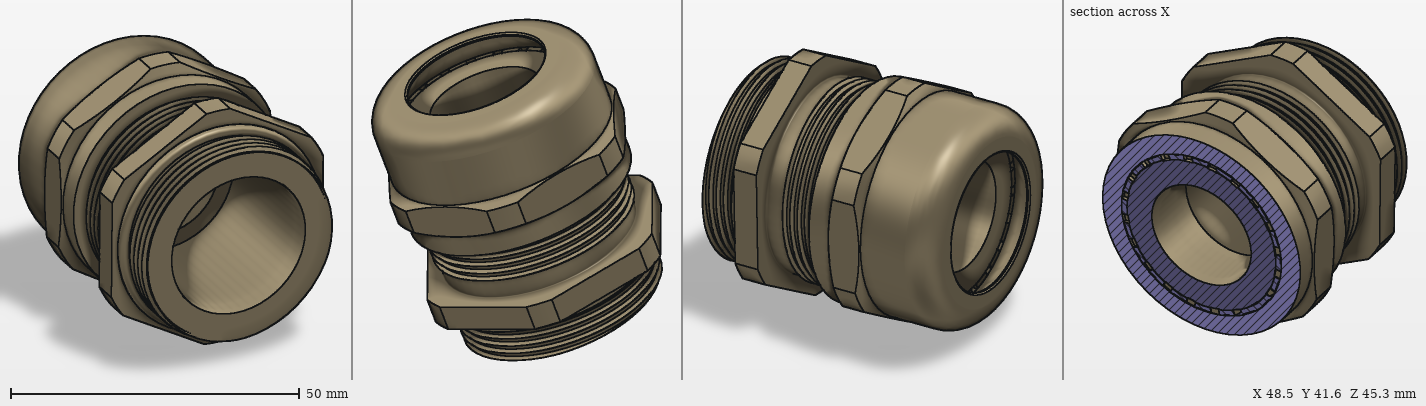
import cadquery as cq
import math


TILT_ABOUT_Y = 1.0
TILT_ABOUT_Z = -1.0

CAP_DIAMETER = 40.65
CAP_END = 24.5
DOME_RADIUS = 4.85
CAP_HEX_START = 13.9
CAP_HEX_END = 20.5
CAP_HEX_FLATS = 41.15
CAP_HEX_CORNERS = 44.6
CAP_HEX_BEVEL = 1.05
OPENING_DIAMETER = 25.25
OPENING_CHAMFER = 0.3
LIP_LENGTH = 0.6

INSERT_START = 5.35
INSERT_END = 20.35
CAGE_DIAMETER = 32.68
SEAL_DIAMETER = 30.45
SEAL_BORE = 20.25
SLOT_COUNT = 20
SLOT_WIDTH = 1.65
SLOT_DEPTH = 4.85
SLOT_PHASE = 8.0

BODY_DIAMETER = 35.4
BODY_START = 12.6
BODY_END = 47.65
BODY_BORE = 26.1
BODY_HEX_START = 34.95
BODY_HEX_END = 39.6
BODY_HEX_FLATS = 41.15
BODY_HEX_CORNERS = 45.1
FLANGE_FILLET = 0.4

RING_COUNT = 5
RING_PITCH = 1.5
RING_CREST_DIAMETER = 36.85
RING_WIDTH = 0.85
RING_ROOT_DEPTH = 0.2
CAP_RINGS_START = 25.35
END_RINGS_START = 42.0
RING_LEAN_ABOUT_Y = 1.0
RING_LEAN_ABOUT_Z = 0.8

O_RING_SECTION = 2.0
O_RING_END = 41.25

ORIGIN = (0, 0, 0)
X_AXIS = (1, 0, 0)
Y_AXIS = (0, 1, 0)
Z_AXIS = (0, 0, 1)


def cylinder(diameter, start, end):
    """Solid cylinder on the X axis between two stations."""
    return cq.Workplane("YZ", origin=(start, 0, 0)).circle(diameter / 2).extrude(end - start)


def revolved(outline):
    """Solid of revolution about X from a closed outline of (x, radius) points."""
    return cq.Workplane("XZ").polyline(outline).close().revolve(360, ORIGIN, X_AXIS)


def hexagon(flats, start, end):
    """Hexagonal prism on the X axis with its corners pointing along Z."""
    corner_diameter = flats / math.cos(math.pi / 6)
    prism = cq.Workplane("YZ", origin=(start, 0, 0)).polygon(6, corner_diameter).extrude(end - start)
    return prism.rotate(ORIGIN, X_AXIS, 90)


def make_cap_nut():
    """Domed nut with a bevelled hexagon, a conical clamping seat and a bore for the body."""
    shell = cylinder(CAP_DIAMETER, 0, CAP_END).faces("<X").edges().fillet(DOME_RADIUS)

    cap_radius = CAP_DIAMETER / 2
    corner_radius = CAP_HEX_CORNERS / 2
    bevelled_disc = revolved([
        (CAP_HEX_START, 0),
        (CAP_HEX_START, cap_radius),
        (CAP_HEX_START + CAP_HEX_BEVEL, corner_radius),
        (CAP_HEX_END - CAP_HEX_BEVEL, corner_radius),
        (CAP_HEX_END, cap_radius),
        (CAP_HEX_END, 0),
    ])
    grip = hexagon(CAP_HEX_FLATS, CAP_HEX_START, CAP_HEX_END).intersect(bevelled_disc)

    opening_radius = OPENING_DIAMETER / 2
    cavity = revolved([
        (0, 0),
        (0, opening_radius + OPENING_CHAMFER),
        (OPENING_CHAMFER, opening_radius),
        (LIP_LENGTH, opening_radius),
        (INSERT_START, CAGE_DIAMETER / 2),
        (BODY_START, CAGE_DIAMETER / 2),
        (BODY_START, BODY_DIAMETER / 2),
        (CAP_END, BODY_DIAMETER / 2),
        (CAP_END, 0),
    ])
    return shell.union(grip).cut(cavity)


def make_cage():
    """Sleeve whose front end is slotted into clamping fingers."""
    sleeve = cylinder(CAGE_DIAMETER, INSERT_START, INSERT_END)
    cage = sleeve.cut(cylinder(SEAL_DIAMETER, INSERT_START, INSERT_END))
    slot = cq.Workplane("XY").box(SLOT_DEPTH, CAGE_DIAMETER, SLOT_WIDTH, centered=(False, False, True))
    slot = slot.translate((INSERT_START, 0, 0))
    for index in range(SLOT_COUNT):
        cage = cage.cut(slot.rotate(ORIGIN, X_AXIS, SLOT_PHASE + index * 360 / SLOT_COUNT))
    return cage


def make_seal():
    """Plain sealing tube inside the cage."""
    tube = cylinder(SEAL_DIAMETER, INSERT_START, INSERT_END)
    return tube.cut(cylinder(SEAL_BORE, INSERT_START, INSERT_END))


def make_thread_ring(station):
    """One V-shaped thread ring, leaning slightly about its own centre."""
    crest_radius = RING_CREST_DIAMETER / 2
    root_radius = BODY_DIAMETER / 2 - RING_ROOT_DEPTH
    flank_slope = (RING_CREST_DIAMETER - BODY_DIAMETER) / RING_WIDTH
    root_half_width = (crest_radius - root_radius) / flank_slope
    ring = revolved([(-root_half_width, root_radius), (0, crest_radius), (root_half_width, root_radius)])
    ring = ring.rotate(ORIGIN, Y_AXIS, RING_LEAN_ABOUT_Y).rotate(ORIGIN, Z_AXIS, RING_LEAN_ABOUT_Z)
    return ring.translate((station, 0, 0))


def make_flange():
    """Hexagonal flange with a root fillet onto the cap side of the tube."""
    flange = hexagon(BODY_HEX_FLATS, BODY_HEX_START, BODY_HEX_END)
    flange = flange.intersect(cylinder(BODY_HEX_CORNERS, BODY_HEX_START, BODY_HEX_END))

    stub_start = BODY_HEX_START - 2 * FLANGE_FILLET
    stub = cylinder(BODY_DIAMETER, stub_start, BODY_HEX_START)
    stub_edges = flange.union(stub).edges(cq.selectors.RadiusNthSelector(0))
    return stub_edges.edges(">X").fillet(FLANGE_FILLET)


def make_body():
    """Tube with a hexagonal flange and a group of thread rings on each side of it."""
    body = cylinder(BODY_DIAMETER, BODY_START, BODY_END)
    for group_start in (CAP_RINGS_START, END_RINGS_START):
        for index in range(RING_COUNT):
            body = body.union(make_thread_ring(group_start + index * RING_PITCH))
    body = body.intersect(cylinder(RING_CREST_DIAMETER * 2, BODY_START, BODY_END))

    body = body.union(make_flange()).cut(cylinder(BODY_BORE, BODY_START, BODY_END))
    return body.cut(cylinder(CAGE_DIAMETER, BODY_START, INSERT_END))


def make_o_ring():
    """Round-section ring on the body, flattened where it rests on the flange."""
    section_radius = O_RING_SECTION / 2
    ring_radius = BODY_DIAMETER / 2 + section_radius
    ring_center = O_RING_END - section_radius
    section = cq.Workplane("XY").center(ring_center, ring_radius).circle(section_radius)
    torus = section.revolve(360, (-ring_center, -ring_radius, 0), (0.5 - ring_center, -ring_radius, 0))
    return torus.cut(cylinder(BODY_HEX_CORNERS, BODY_HEX_START, BODY_HEX_END))


def tilted(part):
    """Turn a part from the X axis onto the gland axis."""
    return part.rotate(ORIGIN, Y_AXIS, TILT_ABOUT_Y).rotate(ORIGIN, Z_AXIS, TILT_ABOUT_Z)


cap_nut = tilted(make_cap_nut())
cage = tilted(make_cage())
seal = tilted(make_seal())
body = tilted(make_body())
o_ring = tilted(make_o_ring())

result = cq.Compound.makeCompound([cap_nut.val(), cage.val(), seal.val(), body.val(), o_ring.val()])